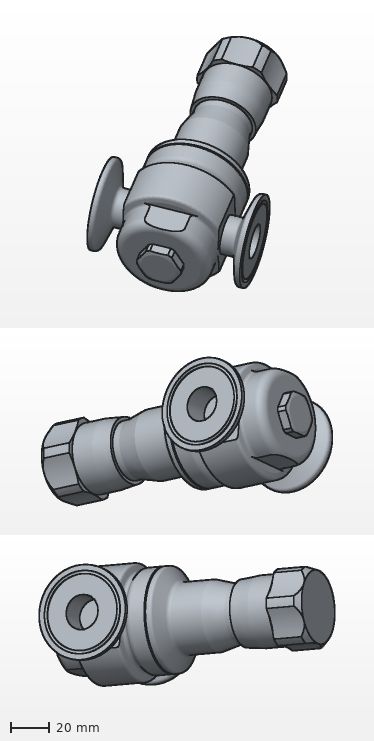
import cadquery as cq
import math


OVERALL_LENGTH = 150.5
KNOB_TOP = 117.1
KNOB_BOTTOM = 97.8
SLEEVE_TAPER_TOP = 85.2
SLEEVE_BOTTOM = 74.3
NECK_BOTTOM = 70.2
STEM_TOP = 58.2
STEM_BOTTOM = 39.0
RIM_TOP = 33.3
GROOVE_TOP = 30.2
GROOVE_BOTTOM = 29.4

STEM_RADIUS = 19.25
SLEEVE_END_RADIUS = 18.1
NECK_RADIUS = 16.1
RIM_RADIUS = 28.4
GROOVE_RADIUS = 25.0
STEM_FILLET = 2.5
RIM_TOP_FILLET = 1.6
RIM_BOTTOM_FILLET = 3.0
RIM_CHAMFER_BOTTOM = 17.0

KNOB_LANDS = 6
KNOB_RADIUS = 22.15
KNOB_LAND_WIDTH = 5.5
KNOB_FLUTE_FLOOR_RADIUS = 19.5
KNOB_TOP_RADIUS = 19.5
KNOB_CHAMFER_LENGTH = 3.2

THROAT_RADIUS = 26.0
THROAT_FILLET = 1.6

BODY_RADIUS = 62.87 / 2
BODY_EDGE_TOP = 13.65
BODY_EDGE_BOTTOM = -11.8
BODY_END_SLOPE = math.tan(math.radians(12.5))
BODY_FILLET = 1.6
BODY_ACROSS_FLATS = 52.5

CAP_RADIUS = BODY_ACROSS_FLATS / 2
CAP_BOTTOM = -27.7
CAP_END_FILLET = 5.0
CAP_ROOT_FILLET = 1.6
CAP_ACROSS_FLATS = 47.6
CAP_FLATS_TOP = -12.6

BODY_TOP = BODY_EDGE_TOP + (BODY_RADIUS - THROAT_RADIUS) * BODY_END_SLOPE
BODY_BOTTOM = BODY_EDGE_BOTTOM - (BODY_RADIUS - CAP_RADIUS) * BODY_END_SLOPE

PLUG_BOTTOM = KNOB_TOP - OVERALL_LENGTH
PLUG_SIDES = 6
PLUG_ACROSS_FLATS = 22.3
PLUG_CORNER_RADIUS = 12.2
PLUG_FACE_RADIUS = 9.6
PLUG_CHAMFER_LENGTH = 0.7

PORT_FACE = 84.07 / 2
PORT_TUBE_RADIUS = 10.65
PORT_BORE_RADIUS = 9.3
PORT_ROOT_FILLET = 2.0
FLANGE_RADIUS = 25.25
FLANGE_RIM_WIDTH = 3.1
FLANGE_RIM_FILLET = 1.8
FLANGE_CONE_END = 33.8
GASKET_GROOVE_OUTER_RADIUS = 22.1
GASKET_GROOVE_INNER_RADIUS = 20.4
GASKET_GROOVE_DEPTH = 1.0

BLANK_SIZE = 3 * BODY_RADIUS
PICK_SLACK = 0.01


def along_valve(sketch_plane_y):
    """Workplane at a station on the valve axis, drawn as X and Z and extruding toward -Y."""
    return cq.Workplane("XZ", origin=(0, sketch_plane_y, 0))


def revolve_about_valve(outline):
    return outline.close().revolve(360, (0, 0, 0), (0, 1, 0))


def rings_at(solid, radius, y):
    """Circular edges around the valve axis at the given radius and station."""
    reach = radius + PICK_SLACK
    box = cq.selectors.BoxSelector(
        (-reach, y - PICK_SLACK, -reach), (reach, y + PICK_SLACK, reach), boundingbox=True
    )
    inner = radius - PICK_SLACK
    circles = [edge for edge in solid.edges(box).vals() if edge.geomType() == "CIRCLE"]
    return solid.newObject([circle for circle in circles if circle.radius() > inner])


def make_turned_parts():
    chamfer_depth = RIM_RADIUS - THROAT_RADIUS
    turned = revolve_about_valve(
        cq.Workplane("XY")
        .moveTo(0, KNOB_BOTTOM)
        .lineTo(STEM_RADIUS, KNOB_BOTTOM)
        .lineTo(STEM_RADIUS, SLEEVE_TAPER_TOP)
        .lineTo(SLEEVE_END_RADIUS, SLEEVE_BOTTOM)
        .lineTo(NECK_RADIUS, SLEEVE_BOTTOM)
        .lineTo(NECK_RADIUS, NECK_BOTTOM)
        .lineTo(STEM_RADIUS, STEM_TOP)
        .lineTo(STEM_RADIUS, STEM_BOTTOM)
        .lineTo(RIM_RADIUS, RIM_TOP)
        .lineTo(RIM_RADIUS, GROOVE_TOP)
        .lineTo(GROOVE_RADIUS, GROOVE_TOP)
        .lineTo(GROOVE_RADIUS, GROOVE_BOTTOM)
        .lineTo(RIM_RADIUS, GROOVE_BOTTOM)
        .lineTo(RIM_RADIUS, RIM_CHAMFER_BOTTOM + chamfer_depth)
        .lineTo(THROAT_RADIUS, RIM_CHAMFER_BOTTOM)
        .lineTo(THROAT_RADIUS, BODY_TOP)
        .lineTo(BODY_RADIUS, BODY_EDGE_TOP)
        .lineTo(BODY_RADIUS, BODY_EDGE_BOTTOM)
        .lineTo(CAP_RADIUS, BODY_BOTTOM)
        .lineTo(CAP_RADIUS, CAP_BOTTOM)
        .lineTo(0, CAP_BOTTOM)
    )
    rounded_rings = (
        (STEM_RADIUS, STEM_BOTTOM, STEM_FILLET),
        (RIM_RADIUS, RIM_TOP, RIM_TOP_FILLET),
        (RIM_RADIUS, RIM_CHAMFER_BOTTOM + chamfer_depth, RIM_BOTTOM_FILLET),
        (THROAT_RADIUS, RIM_CHAMFER_BOTTOM, THROAT_FILLET),
        (THROAT_RADIUS, BODY_TOP, THROAT_FILLET),
        (BODY_RADIUS, BODY_EDGE_TOP, BODY_FILLET),
        (BODY_RADIUS, BODY_EDGE_BOTTOM, BODY_FILLET),
        (CAP_RADIUS, BODY_BOTTOM, CAP_ROOT_FILLET),
        (CAP_RADIUS, CAP_BOTTOM, CAP_END_FILLET),
    )
    for radius, y, fillet in rounded_rings:
        turned = rings_at(turned, radius, y).fillet(fillet)
    return turned


def trim_to_slab(solid, top, bottom, width, height):
    """Between two stations, keep only what lies within a width along X and a height along Z."""
    blank = along_valve(top).rect(BLANK_SIZE, BLANK_SIZE).extrude(top - bottom)
    keep = along_valve(top).rect(width, height).extrude(top - bottom)
    return solid.cut(blank.cut(keep))


def cut_body_flats(solid):
    """Flats facing the ports, also trimming the fillets at both ends of the body."""
    top = BODY_TOP + THROAT_FILLET
    bottom = BODY_BOTTOM - CAP_ROOT_FILLET
    return trim_to_slab(solid, top, bottom, BODY_ACROSS_FLATS, BLANK_SIZE)


def cut_cap_flats(solid):
    return trim_to_slab(solid, CAP_FLATS_TOP, CAP_BOTTOM, BLANK_SIZE, CAP_ACROSS_FLATS)


def on_circle(radius, angle):
    return (radius * math.cos(angle), radius * math.sin(angle))


def make_knob():
    pitch = 2 * math.pi / KNOB_LANDS
    land_half_angle = math.asin(KNOB_LAND_WIDTH / 2 / KNOB_RADIUS)
    outline = along_valve(KNOB_TOP).moveTo(*on_circle(KNOB_RADIUS, -land_half_angle))
    for land in range(KNOB_LANDS):
        middle = land * pitch
        outline = outline.threePointArc(
            on_circle(KNOB_RADIUS, middle), on_circle(KNOB_RADIUS, middle + land_half_angle)
        )
        outline = outline.threePointArc(
            on_circle(KNOB_FLUTE_FLOOR_RADIUS, middle + pitch / 2),
            on_circle(KNOB_RADIUS, middle + pitch - land_half_angle),
        )
    prism = outline.close().extrude(KNOB_TOP - KNOB_BOTTOM)
    envelope = revolve_about_valve(
        cq.Workplane("XY")
        .moveTo(0, KNOB_BOTTOM)
        .lineTo(KNOB_RADIUS, KNOB_BOTTOM)
        .lineTo(KNOB_RADIUS, KNOB_TOP - KNOB_CHAMFER_LENGTH)
        .lineTo(KNOB_TOP_RADIUS, KNOB_TOP)
        .lineTo(0, KNOB_TOP)
    )
    return prism.intersect(envelope)


def make_plug():
    corner_diameter = PLUG_ACROSS_FLATS / math.cos(math.pi / PLUG_SIDES)
    prism = along_valve(CAP_BOTTOM).polygon(PLUG_SIDES, corner_diameter).extrude(CAP_BOTTOM - PLUG_BOTTOM)
    envelope = revolve_about_valve(
        cq.Workplane("XY")
        .moveTo(0, CAP_BOTTOM)
        .lineTo(PLUG_CORNER_RADIUS, CAP_BOTTOM)
        .lineTo(PLUG_CORNER_RADIUS, PLUG_BOTTOM + PLUG_CHAMFER_LENGTH)
        .lineTo(PLUG_FACE_RADIUS, PLUG_BOTTOM)
        .lineTo(0, PLUG_BOTTOM)
    )
    return prism.intersect(envelope)


def revolve_about_ports(outline):
    return outline.close().revolve(360, (0, 0, 0), (1, 0, 0))


def make_port():
    """Clamp ferrule on the +X side, running from the middle of the valve to the port face."""
    rim_back = PORT_FACE - FLANGE_RIM_WIDTH
    port = revolve_about_ports(
        cq.Workplane("XY")
        .lineTo(0, PORT_TUBE_RADIUS)
        .lineTo(FLANGE_CONE_END, PORT_TUBE_RADIUS)
        .lineTo(rim_back, FLANGE_RADIUS)
        .lineTo(PORT_FACE, FLANGE_RADIUS)
        .lineTo(PORT_FACE, 0)
    )
    for x, fillet in ((FLANGE_CONE_END, PORT_ROOT_FILLET), (rim_back, FLANGE_RIM_FILLET)):
        reach = FLANGE_RADIUS + PICK_SLACK
        slab = cq.selectors.BoxSelector(
            (x - PICK_SLACK, -reach, -reach), (x + PICK_SLACK, reach, reach), boundingbox=True
        )
        port = port.edges(slab).fillet(fillet)
    return port


def make_gasket_groove():
    """Ring with a rounded floor, cut into the +X port face."""
    middle_radius = (GASKET_GROOVE_OUTER_RADIUS + GASKET_GROOVE_INNER_RADIUS) / 2
    return revolve_about_ports(
        cq.Workplane("XY")
        .moveTo(PORT_FACE, GASKET_GROOVE_INNER_RADIUS)
        .threePointArc(
            (PORT_FACE - GASKET_GROOVE_DEPTH, middle_radius), (PORT_FACE, GASKET_GROOVE_OUTER_RADIUS)
        )
    )


def make_bore():
    """Bore of the +X port, ending level with the flat on the body."""
    body_flat = BODY_ACROSS_FLATS / 2
    return (
        cq.Workplane("YZ", origin=(body_flat, 0, 0))
        .circle(PORT_BORE_RADIUS)
        .extrude(PORT_FACE - body_flat)
    )


valve = make_turned_parts()
valve = cut_body_flats(valve)
valve = cut_cap_flats(valve)
valve = valve.union(make_knob()).union(make_plug())

port = make_port()
port_cut = make_gasket_groove().union(make_bore())
valve = valve.union(port).union(port.mirror("YZ"))
result = valve.cut(port_cut).cut(port_cut.mirror("YZ"))